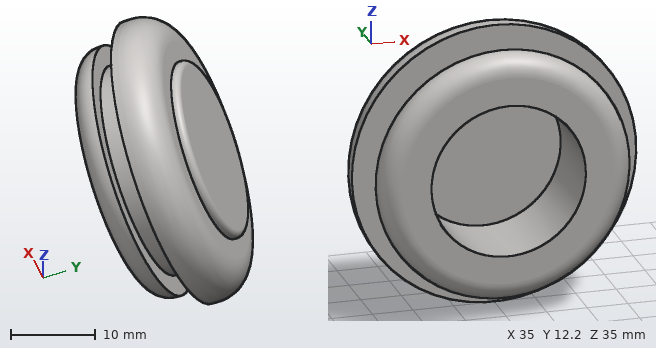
import cadquery as cq

head_diameter = 35.0
head_thickness = 5.0
head_round = 4.0
lip_diameter = 31.0
lip_thickness = 3.0
lip_round = 2.5
groove_diameter = 26.0
groove_width = 3.2
cap_diameter = 22.0
cap_height = 1.0
cap_round = 0.8
bore_diameter = 19.0
floor_thickness = 1.5

open_end_y = 0.0
groove_start_y = open_end_y + lip_thickness
head_start_y = groove_start_y + groove_width
head_end_y = head_start_y + head_thickness
cap_end_y = head_end_y + cap_height
bore_depth = cap_end_y - floor_thickness - open_end_y


def disc(diameter, start_y, length):
    """Cylinder on the Y axis running from start_y towards +Y."""
    direction = cq.Vector(0, 1, 0)
    return cq.Workplane(cq.Solid.makeCylinder(diameter / 2, length, cq.Vector(0, start_y, 0), direction))


def make_lip():
    return disc(lip_diameter, open_end_y, lip_thickness).faces("<Y").edges().fillet(lip_round)


def make_groove_core():
    return disc(groove_diameter, groove_start_y, groove_width)


def make_head():
    return disc(head_diameter, head_start_y, head_thickness).faces(">Y").edges().fillet(head_round)


def make_cap():
    return disc(cap_diameter, head_end_y, cap_height).faces(">Y").edges().fillet(cap_round)


def make_bore():
    return disc(bore_diameter, open_end_y, bore_depth)


result = make_lip().union(make_groove_core()).union(make_head()).union(make_cap()).cut(make_bore())